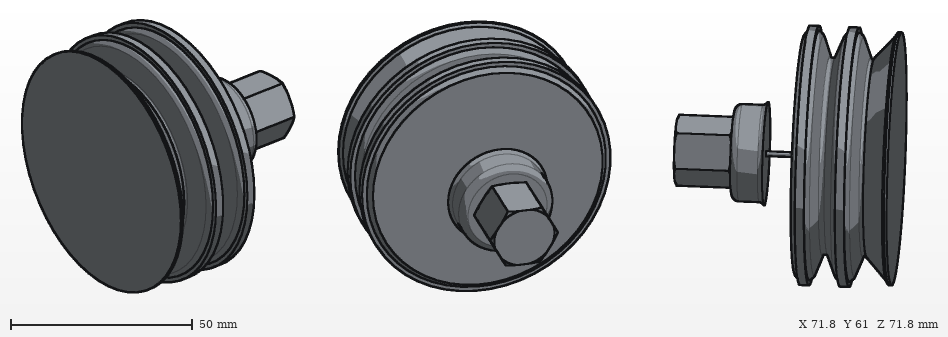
import cadquery as cq
import math


total_length = 61.0
disc_radius = 35.9

rim_radius = 35.0
rim_width = 0.7
lip_shoulder_radius = 34.7
lip_cone_radius = 34.0
lip_cone_start = 1.4
shoulder_radius = 34.5
crest_radius = 33.2
crest_bulge_radius = 34.1
valley_radius = 27.2
valley_edge_radius = 27.7
front_valley_y = 7.7
front_valley_half_width = 0.6
rear_valley_y = 18.7
rear_valley_half_width = 0.8
disc_width = 2.5
front_disc_y = 13.03
disc_pitch = 11.09
crest_half_width = 2.62
rear_disc_y = front_disc_y + disc_pitch
bellows_length = rear_disc_y + crest_half_width

collar_radius = 13.5
collar_front = 36.1
collar_rear = 45.2
collar_rounding = 2.1
flare_size = 1.4
flare_radius = 14.35
flare_mid_radius = 13.8
flare_mid_y = 36.7

hex_corner_radius = 9.85
hex_chamfer_radius = 8.7
hex_chamfer_depth = 0.5
hex_turn = -2.0

core_radius = 0.7
core_overlap = 0.7


def revolve_about_y(profile):
    return profile.close().revolve(360, (0, 0, 0), (0, 1, 0))


def add_crest(profile, disc_y):
    """Continue the profile over one rounded crest carrying a flat disc."""
    bulge_offset = (disc_width / 2 + crest_half_width) / 2
    disc_front = disc_y - disc_width / 2
    disc_rear = disc_y + disc_width / 2
    return (
        profile.lineTo(crest_radius, disc_y - crest_half_width)
        .threePointArc((crest_bulge_radius, disc_y - bulge_offset), (shoulder_radius, disc_front))
        .lineTo(disc_radius, disc_front)
        .lineTo(disc_radius, disc_rear)
        .lineTo(shoulder_radius, disc_rear)
        .threePointArc((crest_bulge_radius, disc_y + bulge_offset), (crest_radius, disc_y + crest_half_width))
    )


def add_valley(profile, valley_y, half_width):
    """Continue the profile through one rounded valley."""
    return profile.lineTo(valley_edge_radius, valley_y - half_width).threePointArc(
        (valley_radius, valley_y), (valley_edge_radius, valley_y + half_width)
    )


def make_bellows():
    profile = (
        cq.Workplane("XY")
        .lineTo(rim_radius, 0)
        .lineTo(rim_radius, rim_width)
        .threePointArc((lip_shoulder_radius, (rim_width + lip_cone_start) / 2), (lip_cone_radius, lip_cone_start))
    )
    profile = add_valley(profile, front_valley_y, front_valley_half_width)
    profile = add_crest(profile, front_disc_y)
    profile = add_valley(profile, rear_valley_y, rear_valley_half_width)
    profile = add_crest(profile, rear_disc_y)
    return revolve_about_y(profile.lineTo(0, bellows_length))


def make_collar():
    arc_offset = collar_rounding * (1 - math.sqrt(0.5))
    profile = (
        cq.Workplane("XY")
        .moveTo(0, collar_front)
        .lineTo(flare_radius, collar_front)
        .threePointArc((flare_mid_radius, flare_mid_y), (collar_radius, collar_front + flare_size))
        .lineTo(collar_radius, collar_rear - collar_rounding)
        .threePointArc(
            (collar_radius - arc_offset, collar_rear - arc_offset),
            (collar_radius - collar_rounding, collar_rear),
        )
        .lineTo(0, collar_rear)
    )
    return revolve_about_y(profile)


def make_hex():
    hexagon = (
        cq.Workplane("XZ", origin=(0, collar_rear, 0))
        .polygon(6, 2 * hex_corner_radius)
        .extrude(collar_rear - total_length)
        .rotate((0, 0, 0), (0, 1, 0), hex_turn)
    )
    envelope = revolve_about_y(
        cq.Workplane("XY")
        .moveTo(0, collar_rear)
        .lineTo(hex_chamfer_radius, collar_rear)
        .lineTo(hex_corner_radius, collar_rear + hex_chamfer_depth)
        .lineTo(hex_corner_radius, total_length - hex_chamfer_depth)
        .lineTo(hex_chamfer_radius, total_length)
        .lineTo(0, total_length)
    )
    return hexagon.intersect(envelope)


def make_core():
    core_start = bellows_length - core_overlap
    core_end = collar_front + core_overlap
    return (
        cq.Workplane("XZ", origin=(0, core_start, 0))
        .circle(core_radius)
        .extrude(core_start - core_end)
    )


result = make_bellows().union(make_core()).union(make_collar()).union(make_hex())